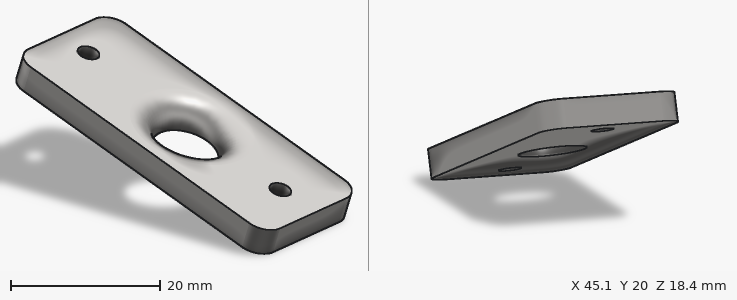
import cadquery as cq
import math

overall_length = 45.1
plate_width = 20.0
plate_thickness = 4.0
corner_radius = 3.0
tilt_angle = 18.4

tilt = math.radians(tilt_angle)
plate_length = (overall_length - plate_thickness * math.sin(tilt)) / math.cos(tilt)

screw_hole_diameter = 3.0
screw_hole_spacing = 35.22
screw_holes_center_x = -0.6

throat_diameter = 9.25
throat_center_x = 0.85


def make_plate():
    """Flat plate on Z = 0 with rounded vertical corners."""
    plate = cq.Workplane("XY").box(
        plate_length, plate_width, plate_thickness, centered=(True, True, False)
    )
    return plate.edges("|Z").fillet(corner_radius)


def make_screw_holes():
    """Cutters for the two through holes near the plate ends."""
    half_spacing = screw_hole_spacing / 2
    centers = [(screw_holes_center_x + side * half_spacing, 0) for side in (-1, 1)]
    return (
        cq.Workplane("XY")
        .pushPoints(centers)
        .circle(screw_hole_diameter / 2)
        .extrude(plate_thickness)
    )


def make_flared_opening():
    """Cutter for the opening that flares by a quarter circle over the full thickness."""
    throat_radius = throat_diameter / 2
    mouth_radius = throat_radius + plate_thickness
    profile = (
        cq.Workplane("XZ")
        .moveTo(0, 0)
        .lineTo(throat_radius, 0)
        .radiusArc((mouth_radius, plate_thickness), plate_thickness)
        .lineTo(0, plate_thickness)
        .close()
    )
    cutter = profile.revolve(360, (0, 0, 0), (0, 1, 0))
    return cutter.translate((throat_center_x, 0, 0))


flat_part = make_plate().cut(make_screw_holes()).cut(make_flared_opening())
result = flat_part.rotate((0, 0, 0), (0, 1, 0), tilt_angle)